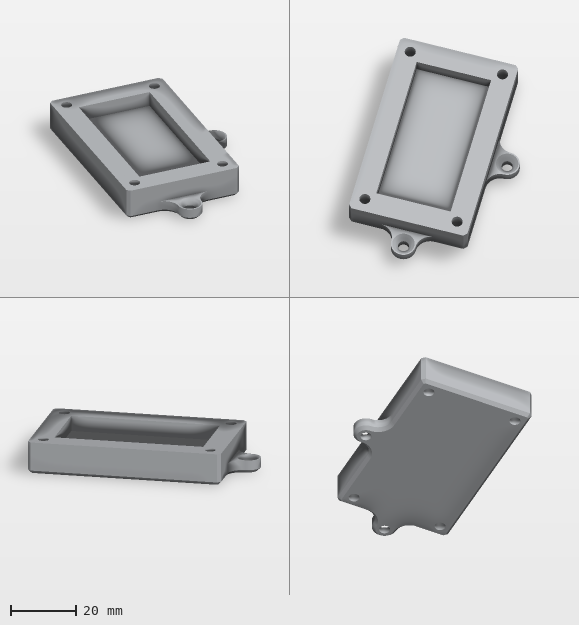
import cadquery as cq

overall_length = 68.9
overall_width = 45.9
height = 10.0
lug_reach = 8.4

body_length = overall_length - lug_reach
body_width = overall_width - lug_reach
edge_chamfer = 1.0

rim = 6.95
pocket_depth = 4.8

hole_diameter = 3.4
hole_inset = 4.1

lug_radius = 3.85
lug_thickness = 4.0
countersink_diameter = 6.8
countersink_angle = 90
lug_hole_offset = lug_reach - lug_radius


def body_block():
    """Block with chamfered vertical corners, resting on Z = 0."""
    return (
        cq.Workplane("XY")
        .box(body_length, body_width, height, centered=(True, True, False))
        .edges("|Z")
        .chamfer(edge_chamfer)
    )


def lug(wall_distance, direction):
    """Rounded lug flaring into the wall, turned about Z from +X to its direction."""
    flare = lug_hole_offset
    center_x = wall_distance + lug_hole_offset
    base_half_width = lug_radius + flare
    diagonal = flare * 0.5 ** 0.5
    root_x = wall_distance - lug_radius
    flare_mid = (center_x - diagonal, base_half_width - diagonal)
    return (
        cq.Workplane("XY")
        .moveTo(root_x, -base_half_width)
        .lineTo(wall_distance, -base_half_width)
        .threePointArc((flare_mid[0], -flare_mid[1]), (center_x, -lug_radius))
        .threePointArc((center_x + lug_radius, 0), (center_x, lug_radius))
        .threePointArc(flare_mid, (wall_distance, base_half_width))
        .lineTo(root_x, base_half_width)
        .close()
        .extrude(lug_thickness)
        .rotate((0, 0, 0), (0, 0, 1), direction)
    )


lug_walls = [(body_length / 2, 0), (body_width / 2, 90)]
result = body_block()
for wall_distance, direction in lug_walls:
    result = result.union(lug(wall_distance, direction))
result = result.faces("<Z").edges().chamfer(edge_chamfer)

result = (
    result.faces(">Z")
    .workplane(origin=(0, 0, height))
    .rect(body_length - 2 * rim, body_width - 2 * rim)
    .cutBlind(-pocket_depth)
)

result = (
    result.faces(">Z")
    .workplane(origin=(0, 0, height))
    .rect(body_length - 2 * hole_inset, body_width - 2 * hole_inset, forConstruction=True)
    .vertices()
    .hole(hole_diameter)
)

lug_centers = [
    (body_length / 2 + lug_hole_offset, 0),
    (0, body_width / 2 + lug_hole_offset),
]
result = (
    cq.Workplane("XY", origin=(0, 0, lug_thickness))
    .add(result)
    .pushPoints(lug_centers)
    .cskHole(hole_diameter, countersink_diameter, countersink_angle)
)